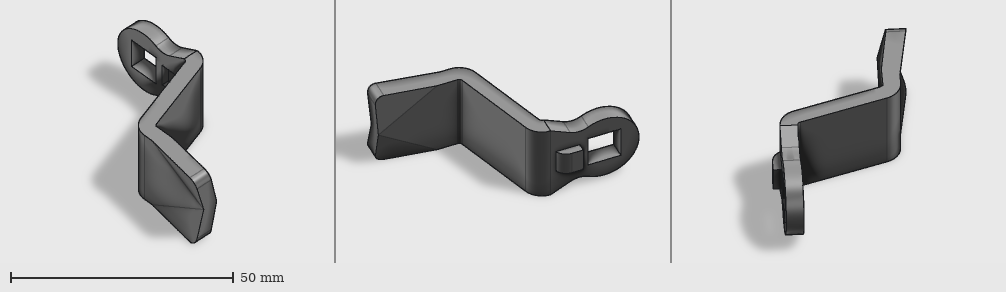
import cadquery as cq
import math

length = 53.5
width = 19.5
half_width = width / 2
thickness = 4.0

bend_start = 21.7
bend_end = 34.1
tail_back = -24.0
tail_front = tail_back - thickness
inner_radius = 0.95
outer_radius = inner_radius + thickness

head_radius = 8.5
drive_side = 8.0
neck_radius = 5.0
neck_offset = 6.25
corner_radius = 2.15

stop_start = 14.55
stop_side = 5.9
stop_end = stop_start + stop_side
stop_height = 2.0
stop_flat = 2.8
pocket_flat = 3.85

front_crease_start = 36.6
front_drop = 2.7
back_crease_start = 39.05
back_drop = 2.15


def polar(center, radius, angle):
    """Point on a circle at an angle in radians."""
    return (center[0] + radius * math.cos(angle), center[1] + radius * math.sin(angle))


def make_strap():
    """Bent strap of constant thickness, extruded over the full width."""
    upper = (bend_start, -outer_radius)
    lower = (bend_end, tail_front + outer_radius)
    dx = lower[0] - upper[0]
    dy = lower[1] - upper[1]
    normal = math.atan2(dy, dx) + math.acos((inner_radius + outer_radius) / math.hypot(dx, dy))
    upper_middle = (math.pi / 2 + normal) / 2
    lower_normal = normal - math.pi
    lower_middle = (lower_normal - math.pi / 2) / 2
    return (
        cq.Workplane("XY")
        .moveTo(0, 0)
        .lineTo(bend_start, 0)
        .threePointArc(polar(upper, outer_radius, upper_middle), polar(upper, outer_radius, normal))
        .lineTo(*polar(lower, inner_radius, lower_normal))
        .threePointArc(polar(lower, inner_radius, lower_middle), (bend_end, tail_back))
        .lineTo(length, tail_back)
        .lineTo(length, tail_front)
        .lineTo(bend_end, tail_front)
        .threePointArc(polar(lower, outer_radius, lower_middle), polar(lower, outer_radius, lower_normal))
        .lineTo(*polar(upper, inner_radius, normal))
        .threePointArc(polar(upper, inner_radius, upper_middle), (bend_start, -thickness))
        .lineTo(0, -thickness)
        .close()
        .extrude(half_width, both=True)
    )


def make_corner_wedge(crease_start, face_y, drop, side):
    """Tetrahedron between a flat tail face and its folded corner."""
    edge_z = side * half_width
    crease = cq.Vector(crease_start, face_y, edge_z)
    tip = cq.Vector(length, face_y, 0)
    corner = cq.Vector(length, face_y, edge_z)
    folded = cq.Vector(length, face_y - drop, edge_z)
    triangles = [
        (crease, tip, corner),
        (crease, folded, tip),
        (crease, corner, folded),
        (tip, folded, corner),
    ]
    faces = [cq.Face.makeFromWires(cq.Wire.makePolygon(list(points), close=True)) for points in triangles]
    return cq.Workplane(obj=cq.Solid.makeSolid(cq.Shell.makeShell(faces)))


def make_outline():
    """Front outline of the whole part, extruded through its depth."""
    center_distance = head_radius + neck_radius
    neck = (head_radius + neck_offset, math.sqrt(center_distance**2 - neck_offset**2))
    join_angle = math.acos(neck_offset / center_distance)
    head_join = polar((head_radius, 0), head_radius, join_angle)
    dx = bend_start - neck[0]
    dz = half_width - neck[1]
    flare_angle = math.atan2(dz, dx) - math.acos(neck_radius / math.hypot(dx, dz))
    flare = polar(neck, neck_radius, flare_angle)
    neck_middle = polar(neck, neck_radius, (join_angle - math.pi + flare_angle) / 2)
    plate = (
        cq.Workplane("XZ")
        .moveTo(head_join[0], -head_join[1])
        .threePointArc((0, 0), head_join)
        .threePointArc(neck_middle, flare)
        .lineTo(bend_start, half_width)
        .lineTo(length, half_width)
        .lineTo(length, -half_width)
        .lineTo(bend_start, -half_width)
        .lineTo(flare[0], -flare[1])
        .threePointArc((neck_middle[0], -neck_middle[1]), (head_join[0], -head_join[1]))
        .close()
        .extrude(length, both=True)
    )
    return plate.edges("|Y and >X").fillet(corner_radius)


def make_stop():
    """Raised stop with a flat top and a rounded run-out."""
    flat_end = stop_start + stop_flat
    run_out = stop_end - flat_end
    radius = (run_out**2 + stop_height**2) / (2 * stop_height)
    middle = polar(
        (flat_end, stop_height - radius),
        radius,
        math.pi / 2 - math.asin(run_out / radius) / 2,
    )
    return (
        cq.Workplane("XY")
        .moveTo(stop_start, 0)
        .lineTo(stop_start, stop_height)
        .lineTo(flat_end, stop_height)
        .threePointArc(middle, (stop_end, 0))
        .close()
        .extrude(stop_side / 2, both=True)
    )


def make_pocket():
    """Front recess behind the stop, with a flat floor and a sloping end."""
    floor_y = -thickness + stop_height
    return (
        cq.Workplane("XY")
        .moveTo(stop_start, -thickness)
        .lineTo(stop_start, floor_y)
        .lineTo(stop_start + pocket_flat, floor_y)
        .lineTo(stop_end, -thickness)
        .close()
        .extrude(stop_side / 2, both=True)
    )


strap = make_strap()
for side in (-1, 1):
    strap = strap.union(make_corner_wedge(front_crease_start, tail_front, front_drop, side))
    strap = strap.cut(make_corner_wedge(back_crease_start, tail_back, back_drop, side))

drive_hole = cq.Workplane("XY").box(drive_side, 4 * thickness, drive_side).translate((head_radius, 0, 0))
result = strap.intersect(make_outline()).union(make_stop()).cut(make_pocket()).cut(drive_hole)